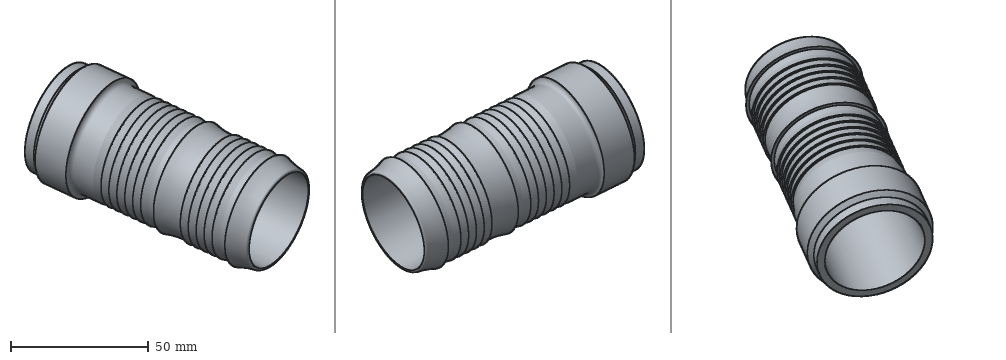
import cadquery as cq
import math

bore_diameter = 38.0
spigot_diameter = 44.0
collar_diameter = 47.8
neck_diameter = 43.5
tooth_diameter = neck_diameter
root_diameter = 42.0
barb_diameter = 44.5
tip_diameter = 40.4

total_length = 97.0
spigot_length = 4.0
collar_end = 19.5
teeth_start = 30.0

collar_back_lean = 15.0
neck_fillet_radius = 2.0

tooth_length = 3.0
tooth_gap = 0.5
tooth_pitch = tooth_length + tooth_gap
front_tooth_count = 7
rear_tooth_count = 5

land_length = 3.0
middle_barb_length = 8.5
barb_flank_radius = 30.0
tip_round_radius = 0.8

bore_radius = bore_diameter / 2
spigot_radius = spigot_diameter / 2
collar_radius = collar_diameter / 2
neck_radius = neck_diameter / 2
tooth_radius = tooth_diameter / 2
root_radius = root_diameter / 2
barb_radius = barb_diameter / 2
tip_radius = tip_diameter / 2


def add_teeth(profile, start, count):
    """Add sawtooth ribs that taper towards +X and return the profile with its end station.

    The surface ahead of the first tooth is left to the caller, so it may be the neck or a land.
    """
    for index in range(count):
        tooth_start = start + index * tooth_pitch
        if index > 0:
            profile = profile.lineTo(tooth_start, root_radius)
        profile = profile.lineTo(tooth_start, tooth_radius)
        profile = profile.lineTo(tooth_start + tooth_length, root_radius)
    return profile, start + (count - 1) * tooth_pitch + tooth_length


def add_collar_and_neck(profile):
    """Add the spigot, the collar with its 45 degree lead and the neck blended into the collar."""
    collar_start = spigot_length + collar_radius - spigot_radius
    profile = profile.lineTo(0, spigot_radius)
    profile = profile.lineTo(spigot_length, spigot_radius)
    profile = profile.lineTo(collar_start, collar_radius)
    profile = profile.lineTo(collar_end, collar_radius)

    lean = math.radians(collar_back_lean)
    mid_angle = (lean + math.pi / 2) / 2
    fillet_centre_radius = neck_radius + neck_fillet_radius
    face_end_radius = fillet_centre_radius - neck_fillet_radius * math.sin(lean)
    face_end = collar_end + (collar_radius - face_end_radius) * math.tan(lean)
    fillet_centre = face_end + neck_fillet_radius * math.cos(lean)
    profile = profile.lineTo(face_end, face_end_radius)
    return profile.threePointArc(
        (
            fillet_centre - neck_fillet_radius * math.cos(mid_angle),
            fillet_centre_radius - neck_fillet_radius * math.sin(mid_angle),
        ),
        (fillet_centre, neck_radius),
    )


def add_barb(profile, start, end, end_radius):
    """Add a barb with a square shoulder and a slightly hollow flank."""
    profile = profile.lineTo(start, root_radius)
    profile = profile.lineTo(start, barb_radius)
    return profile.radiusArc((end, end_radius), -barb_flank_radius)


def make_profile():
    """Half section of the fitting, X along the axis and Y as the radius."""
    profile = cq.Workplane("XY").moveTo(0, bore_radius)
    profile = add_collar_and_neck(profile)

    profile, front_teeth_end = add_teeth(profile, teeth_start, front_tooth_count)

    middle_barb_start = front_teeth_end + land_length
    middle_barb_end = middle_barb_start + middle_barb_length
    profile = add_barb(profile, middle_barb_start, middle_barb_end, root_radius)

    rear_teeth_start = middle_barb_end + land_length
    profile = profile.lineTo(rear_teeth_start, root_radius)
    profile, rear_teeth_end = add_teeth(profile, rear_teeth_start, rear_tooth_count)

    end_barb_start = rear_teeth_end + land_length
    end_barb_end = total_length - tip_round_radius
    profile = add_barb(profile, end_barb_start, end_barb_end, tip_radius)

    round_offset = tip_round_radius * math.sqrt(0.5)
    profile = profile.threePointArc(
        (end_barb_end + round_offset, tip_radius - tip_round_radius + round_offset),
        (total_length, tip_radius - tip_round_radius),
    )
    profile = profile.lineTo(total_length, bore_radius)
    return profile.close()


result = make_profile().revolve(360, (0, 0, 0), (1, 0, 0))